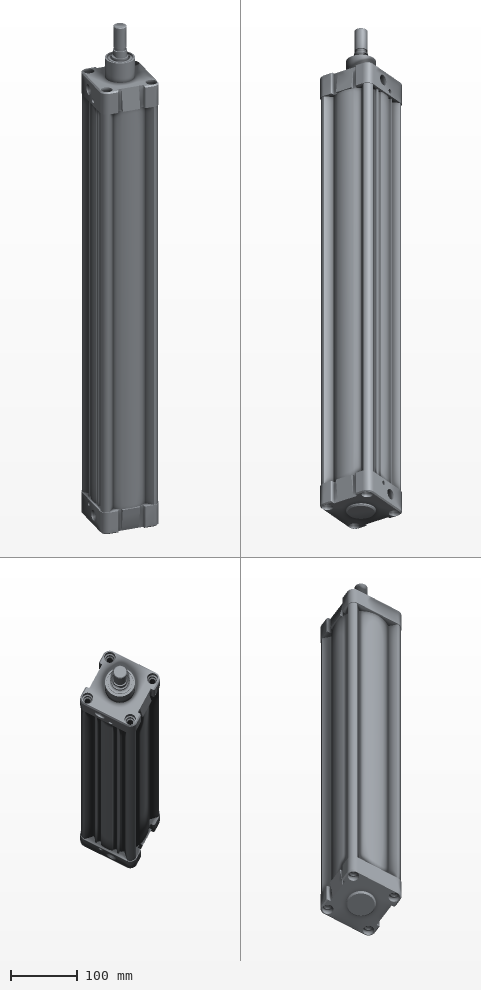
import cadquery as cq
import math

overall_length = 818.0
cap_size = 94.0
cap_height = 36.0
cap_corner_radius = 11.0
cap_edge_chamfer = 2.0

thread_diameter = 20.0
thread_length = 34.5
thread_chamfer = 1.0
undercut_diameter = 16.5
undercut_length = 5.0
neck_diameter = 20.8
neck_length = 10.5
rod_diameter = 25.0
rod_stub_length = 2.5
flats_width = 17.0
flats_height = 8.0

boss_diameter = 45.0
boss_height = 32.0
seal_recess_diameter = 40.0
seal_recess_depth = 2.0
seal_outer_diameter = 36.0
seal_inner_diameter = 30.0
seal_height = 1.5
pilot_height = 3.5
pilot_chamfer = 2.0

barrel_size = 92.0
barrel_corner_radius = 10.0
barrel_wall_radius = 44.0
shoulder_end = 26.0
rib_outer = 20.0
rib_inner = 17.0
rib_face = 43.0
slot_edge = 10.0
slot_bottom = 38.0
slot_side_depth = 40.5
rib_foot_width = 3.0

relief_half_width = 21.0
relief_mouth_radius = 2.5
relief_floor = 41.0
pad_half_width = 14.0
pad_top = 46.0
pad_overlap = 1.0

screw_pitch = 72.0
screw_hole_diameter = 9.0
screw_bore_diameter = 17.0
screw_bore_depth = 10.0
screw_seat_diameter = 13.0
screw_seat_depth = 16.0

port_diameter = 16.6
port_depth = cap_size / 2
port_offset = 9.8
port_level = 17.5
needle_diameter = 7.0
needle_depth = 10.0
needle_offset = 8.3
needle_level = 28.5

chamber_diameter = 34.0
chamber_length = 28.0

base_outer = pilot_height
base_inner = base_outer + cap_height
neck_top = overall_length - thread_length - undercut_length
rod_top = neck_top - neck_length
boss_top = rod_top - rod_stub_length
head_outer = boss_top - boss_height
head_inner = head_outer - cap_height


def rod(diameter, bottom, height):
    return cq.Workplane("XY").workplane(offset=bottom).circle(diameter / 2).extrude(height)


def box(x_range, y_range, z_range):
    spans = [high - low for low, high in (x_range, y_range, z_range)]
    return cq.Workplane("XY").box(*spans, centered=False).translate((x_range[0], y_range[0], z_range[0]))


def side_relief(side):
    """Cutter for the side recess of a cap, with rounded edges at its mouth."""
    face = cap_size / 2
    wall_end = face - relief_mouth_radius
    mouth_half_width = relief_half_width + relief_mouth_radius
    arc_reach = relief_mouth_radius * math.sqrt(0.5)
    arc_x = side * (wall_end + arc_reach)
    arc_y = mouth_half_width - arc_reach
    outline = cq.Workplane("XY").moveTo(side * relief_floor, -relief_half_width)
    outline = outline.lineTo(side * wall_end, -relief_half_width)
    outline = outline.threePointArc((arc_x, -arc_y), (side * face, -mouth_half_width))
    outline = outline.lineTo(side * face, mouth_half_width)
    outline = outline.threePointArc((arc_x, arc_y), (side * wall_end, relief_half_width))
    return outline.lineTo(side * relief_floor, relief_half_width).close().extrude(cap_height)


def side_pad(side):
    """Tapered pad in the side relief: flush with the relief floor at the outer face."""
    profile = [
        (side * (relief_floor - pad_overlap), 0),
        (side * pad_top, 0),
        (side * relief_floor, cap_height),
        (side * (relief_floor - pad_overlap), cap_height),
    ]
    return cq.Workplane("XZ").polyline(profile).close().extrude(pad_half_width, both=True)


def front_hole(diameter, depth, x, z):
    hole = cq.Workplane("XZ", origin=(x, -cap_size / 2, z)).circle(diameter / 2)
    return hole.extrude(-depth)


def cap(port_side):
    """End cap with its inner face at Z = 0 and its outer face at Z = cap_height."""
    body = cq.Workplane("XY").rect(cap_size, cap_size).extrude(cap_height)
    body = body.edges("|Z").fillet(cap_corner_radius)
    body = body.faces(">Z").edges().chamfer(cap_edge_chamfer)
    for side in (-1, 1):
        body = body.cut(side_relief(side)).union(side_pad(side))
    outer_face = cq.Workplane("XY").workplane(offset=cap_height)
    screws = outer_face.rect(screw_pitch, screw_pitch, forConstruction=True).vertices()
    body = body.cut(screws.circle(screw_bore_diameter / 2).extrude(-screw_bore_depth))
    body = body.cut(screws.circle(screw_seat_diameter / 2).extrude(-screw_seat_depth))
    body = body.cut(rod(chamber_diameter, 0, chamber_length))
    body = body.cut(front_hole(port_diameter, port_depth, port_side * port_offset, cap_height - port_level))
    needle_x = -port_side * needle_offset
    needle_z = cap_height - needle_level
    return body.cut(front_hole(needle_diameter, needle_depth, needle_x, needle_z))


def corner_lobe(quarter_turns):
    """Rounded barrel corner whose 45 degree shoulders run in to the round wall."""
    half = barrel_size / 2
    tangent = half - barrel_corner_radius
    mid_arc = tangent + barrel_corner_radius * math.sqrt(0.5)
    foot = half - (tangent - shoulder_end)
    lobe = cq.Workplane("XY").workplane(offset=base_inner).moveTo(0, 0).lineTo(foot, shoulder_end)
    lobe = lobe.lineTo(half, tangent).threePointArc((mid_arc, mid_arc), (tangent, half))
    lobe = lobe.lineTo(shoulder_end, foot).close().extrude(head_inner - base_inner)
    return lobe.rotate((0, 0, 0), (0, 0, 1), 90 * quarter_turns)


def barrel():
    length = head_inner - base_inner
    body = rod(2 * barrel_wall_radius, base_inner, length)
    for quarter_turns in range(4):
        body = body.union(corner_lobe(quarter_turns))
    for side in (-1, 1):
        rib_x = sorted((side * rib_inner, side * rib_outer))
        foot_x = sorted((side * rib_inner, side * (rib_outer + rib_foot_width)))
        body = body.union(box(rib_x, (-rib_face, 0), (base_inner, head_inner)))
        body = body.union(box(foot_x, (-slot_bottom, 0), (base_inner, head_inner)))
        slot_middle = side * (slot_edge + rib_inner) / 2
        outline = [
            (side * slot_edge, -barrel_size / 2),
            (side * slot_edge, -slot_side_depth),
            (slot_middle, -slot_bottom),
            (side * rib_inner, -slot_side_depth),
            (side * rib_inner, -barrel_size / 2),
        ]
        slot = cq.Workplane("XY").workplane(offset=base_inner).polyline(outline).close().extrude(length)
        body = body.cut(slot)
    return body


def guide_boss():
    """Boss with a recessed top face that holds a raised seal ring."""
    recess_floor = boss_top - seal_recess_depth
    body = rod(boss_diameter, head_outer, boss_height)
    body = body.cut(rod(seal_recess_diameter, recess_floor, seal_recess_depth))
    seal = rod(seal_outer_diameter, recess_floor, seal_height)
    return body.union(seal.cut(rod(seal_inner_diameter, recess_floor, seal_height)))


def rod_end():
    neck = rod(neck_diameter, rod_top, neck_length)
    flat_z = (rod_top, rod_top + flats_height)
    for side in (-1, 1):
        flat_y = sorted((side * flats_width / 2, side * neck_diameter))
        neck = neck.cut(box((-neck_diameter, neck_diameter), flat_y, flat_z))
    shaft = rod(rod_diameter, head_inner, rod_top - head_inner)
    undercut = rod(undercut_diameter, neck_top, undercut_length)
    thread = rod(thread_diameter, neck_top + undercut_length, thread_length)
    thread = thread.faces(">Z").chamfer(thread_chamfer)
    return shaft.union(neck).union(undercut).union(thread)


boss = guide_boss()
pilot = rod(boss_diameter, 0, pilot_height).faces("<Z").chamfer(pilot_chamfer)
head_cap = cap(-1).translate((0, 0, head_inner))
base_cap = cap(1).mirror("XY").translate((0, 0, base_inner))

result = barrel().union(head_cap).union(base_cap).union(pilot).union(boss).union(rod_end())
tie_rods = cq.Workplane("XY").rect(screw_pitch, screw_pitch, forConstruction=True).vertices()
result = result.cut(tie_rods.circle(screw_hole_diameter / 2).extrude(overall_length))